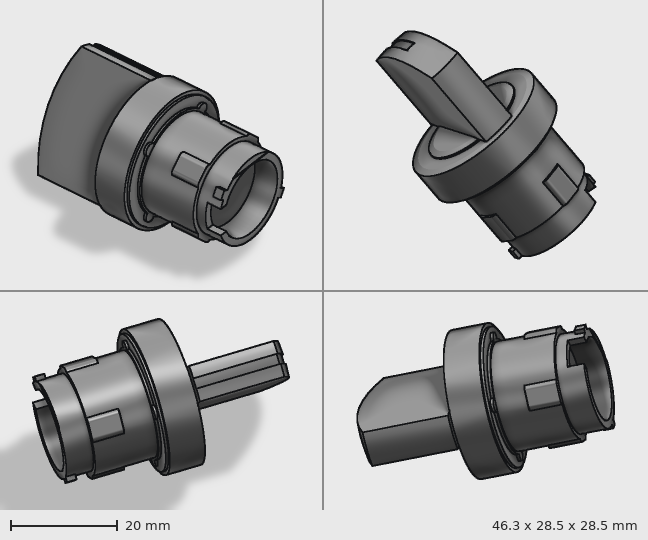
import cadquery as cq
import math


HANDLE_BASE_X = 19.75
HUB_FACE_X = 19.4
BEZEL_FACE_X = 20.1
BEZEL_RIM_X = 20.4
BEZEL_BACK_X = 27.4
SEAT_X = 27.95
COLLAR_BACK_X = 28.5
KEY_FRONT_X = 34.6
BODY_BACK_X = 40.9
NECK_BACK_X = 46.3

HUB_FACE_R = 8.6
HUB_R = 10.0
BEZEL_FACE_R = 12.75
BEZEL_R = 14.25
SEAL_R = 13.45
COLLAR_R = 11.0
BODY_R = 10.5
NECK_R = 9.55
NECK_BORE_R = 8.0

HANDLE_TURN = -30.0
HANDLE_WIDTH = 7.0
HANDLE_END_R = 13.5
DOME_R = 32.0
GROOVE_WIDTH = 2.0
GROOVE_DEPTH = 0.3
GROOVE_PAST_AXIS = 1.5

DIAGONALS = (45.0, 135.0, 225.0, 315.0)
KEY_TOP_R = 10.95
KEY_WIDTH = 5.0
KEY_ROUND_R = 1.1
LOBE_R = 1.35

SLOT_WIDTH = 6.25
SLOT_DEPTH = 3.2
TAB_WIDTH = 2.0
TAB_LENGTH = 1.9
TAB_REACH = 10.36
TRIM_HEIGHT = 8.0
TRIM_DEPTH = 0.13


def cylinder(x_start, x_end, radius):
    """Solid cylinder on the X axis between two stations."""
    return cq.Workplane("YZ").workplane(offset=x_start).circle(radius).extrude(x_end - x_start)


def block(x_range, y_range, z_range):
    """Box between two limits on each axis."""
    size = [high - low for low, high in (x_range, y_range, z_range)]
    corner = (x_range[0], y_range[0], z_range[0])
    return cq.Workplane("XY").box(*size, centered=False).translate(corner)


def about_axis(shape, angle):
    """Turn a shape about the X axis."""
    return shape.rotate((0, 0, 0), (1, 0, 0), angle)


def turned_core():
    """Hub, bezel, seal, collar, body and neck in one revolved outline."""
    outline = [
        (HUB_FACE_X, 0),
        (HUB_FACE_X, HUB_FACE_R),
        (HANDLE_BASE_X, HUB_R),
        (BEZEL_FACE_X, HUB_R),
        (BEZEL_FACE_X, BEZEL_FACE_R),
        (BEZEL_RIM_X, BEZEL_R),
        (BEZEL_BACK_X, BEZEL_R),
        (BEZEL_BACK_X, SEAL_R),
        (SEAT_X, SEAL_R),
        (SEAT_X, COLLAR_R),
        (COLLAR_BACK_X, COLLAR_R),
        (COLLAR_BACK_X, BODY_R),
        (BODY_BACK_X, BODY_R),
        (BODY_BACK_X, NECK_R),
        (NECK_BACK_X, NECK_R),
        (NECK_BACK_X, 0),
    ]
    return cq.Workplane("XY").polyline(outline).close().revolve(360, (0, 0, 0), (1, 0, 0))


def domed_cylinder(inset):
    """Round-ended envelope of the handle, moved inwards by the inset."""
    envelope = cylinder(0, HANDLE_BASE_X, HANDLE_END_R - inset)
    dome = cq.Workplane("XY").sphere(DOME_R - inset).translate((DOME_R, 0, 0))
    return envelope.intersect(dome)


def handle():
    """Bar handle with a shallow pointer groove over one half."""
    half_width = HANDLE_WIDTH / 2
    half_groove = GROOVE_WIDTH / 2
    along_x = (0, HANDLE_BASE_X)
    bar = block(along_x, (-half_width, half_width), (-HANDLE_END_R, HANDLE_END_R))
    bar = bar.intersect(domed_cylinder(0))
    groove = block(along_x, (-half_groove, half_groove), (-GROOVE_PAST_AXIS, HANDLE_END_R))
    groove = groove.cut(domed_cylinder(GROOVE_DEPTH))
    return about_axis(bar.cut(groove), HANDLE_TURN)


def guide_key(angle):
    """Key along the rear of the body with rounded outer edges."""
    half_width = KEY_WIDTH / 2
    key = block((KEY_FRONT_X, BODY_BACK_X), (0, KEY_TOP_R), (-half_width, half_width))
    key = key.edges("|X and >Y").fillet(KEY_ROUND_R)
    return about_axis(key, angle)


def collar_lobe(angle):
    """Small round lobe standing out of the collar."""
    lobe = cylinder(SEAT_X, COLLAR_BACK_X, LOBE_R).translate((0, COLLAR_R, 0))
    return about_axis(lobe, angle)


def neck_tabs():
    """Pair of tabs on opposite sides of the neck, square to the handle."""
    tabs = block((NECK_BACK_X - TAB_LENGTH, NECK_BACK_X), (-TAB_REACH, TAB_REACH), (0, TAB_WIDTH))
    return about_axis(tabs, HANDLE_TURN)


def neck_slot():
    """Slot through the -Y wall of the neck, open to the rear."""
    half_width = SLOT_WIDTH / 2
    return block((NECK_BACK_X - SLOT_DEPTH, NECK_BACK_X), (-NECK_R, 0), (-half_width, half_width))


def neck_trim():
    """Slight relief of the rear face along the top of the neck."""
    half_width = math.sqrt(NECK_R**2 - TRIM_HEIGHT**2)
    return block((NECK_BACK_X - TRIM_DEPTH, NECK_BACK_X), (-half_width, half_width), (TRIM_HEIGHT, NECK_R))


result = turned_core().union(handle()).union(neck_tabs())
for diagonal in DIAGONALS:
    result = result.union(guide_key(diagonal)).union(collar_lobe(diagonal))
result = result.cut(cylinder(BODY_BACK_X, NECK_BACK_X, NECK_BORE_R))
result = result.cut(neck_slot()).cut(neck_trim())